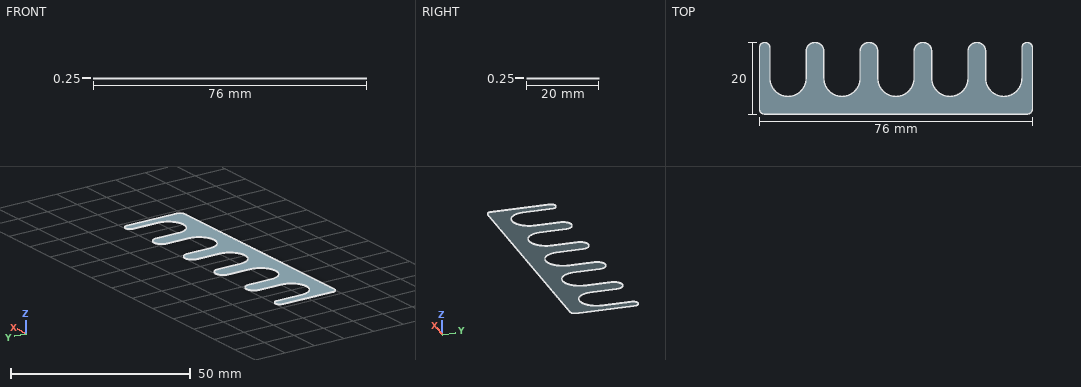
import cadquery as cq

thickness = 0.25
depth = 20.0

slot_count = 5
slot_width = 10.0
slot_radius = slot_width / 2
spine_width = 5.0

inner_finger_width = 5.0
end_finger_width = 3.0
spine_corner_radius = 1.5

slot_pitch = slot_width + inner_finger_width
length = slot_count * slot_width + (slot_count - 1) * inner_finger_width + 2 * end_finger_width

back_y = -depth / 2
tip_y = depth / 2
slot_arc_y = back_y + spine_width + slot_radius


def add_tip(outline, right_x, width):
    """Go up the right side of a finger, round its tip and stop at the tip's left end."""
    radius = width / 2
    return (
        outline.lineTo(right_x, tip_y - radius)
        .threePointArc((right_x - radius, tip_y), (right_x - width, tip_y - radius))
    )


def add_slot(outline, right_x):
    """Go down the right side of a slot and round its bottom to the left side."""
    return (
        outline.lineTo(right_x, slot_arc_y)
        .threePointArc(
            (right_x - slot_radius, slot_arc_y - slot_radius),
            (right_x - slot_width, slot_arc_y),
        )
    )


def make_comb():
    """Trace the comb outline anticlockwise from its back left corner and extrude it."""
    right_x = length / 2
    outline = cq.Workplane("XY").moveTo(-right_x, back_y).lineTo(right_x, back_y)
    outline = add_tip(outline, right_x, end_finger_width)
    for index in range(slot_count):
        slot_right_x = right_x - end_finger_width - index * slot_pitch
        is_last = index == slot_count - 1
        finger_width = end_finger_width if is_last else inner_finger_width
        outline = add_slot(outline, slot_right_x)
        outline = add_tip(outline, slot_right_x - slot_width, finger_width)
    return outline.close().extrude(thickness)


def round_spine_corners(comb):
    """Round the two outer corners of the spine."""
    corners = cq.selectors.BoxSelector(
        (-length, back_y - spine_corner_radius, -thickness),
        (length, back_y + spine_corner_radius, 2 * thickness),
    )
    return comb.edges("|Z").edges(corners).fillet(spine_corner_radius)


result = round_spine_corners(make_comb())